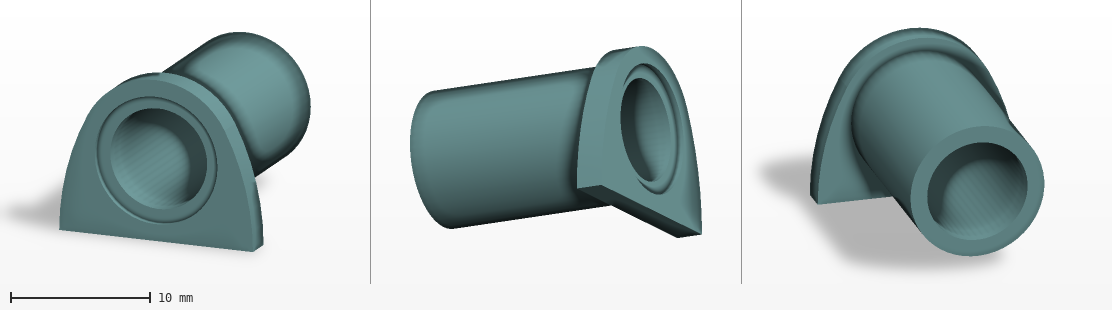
import cadquery as cq
import math

total_length = 17.0
flange_width = 15.0
flange_thickness = 2.0
crown_radius = 6.0
tube_diameter = 10.0
bore_diameter = 7.5
counterbore_diameter = 9.5
counterbore_depth = 0.5

half_width = flange_width / 2
base_z = -crown_radius

flank_radius = (half_width**2 + base_z**2 - crown_radius**2) / (2 * (half_width - crown_radius))
flank_centre_x = half_width - flank_radius
join_angle = math.atan2(-base_z, -flank_centre_x)


def flank_point(angle):
    """Point on the +X flank arc at the given angle above the base line."""
    x = flank_centre_x + flank_radius * math.cos(angle)
    z = base_z + flank_radius * math.sin(angle)
    return x, z


def mirrored(point):
    """Reflect a profile point to the -X side."""
    return -point[0], point[1]


def cylinder(diameter, length):
    """Cylinder along +Y that starts at the flange face."""
    return cq.Workplane("XZ").circle(diameter / 2).extrude(-length)


def make_flange():
    """Arched plate with a flat base, bulging flanks and a round crown."""
    base_corner = (half_width, base_z)
    flank_middle = flank_point(join_angle / 2)
    crown_start = flank_point(join_angle)
    return (
        cq.Workplane("XZ")
        .moveTo(*base_corner)
        .threePointArc(flank_middle, crown_start)
        .threePointArc((0, crown_radius), mirrored(crown_start))
        .threePointArc(mirrored(flank_middle), mirrored(base_corner))
        .close()
        .extrude(-flange_thickness)
    )


tube = cylinder(tube_diameter, total_length)
bore = cylinder(bore_diameter, total_length)
counterbore = cylinder(counterbore_diameter, counterbore_depth)

result = make_flange().union(tube).cut(bore).cut(counterbore)